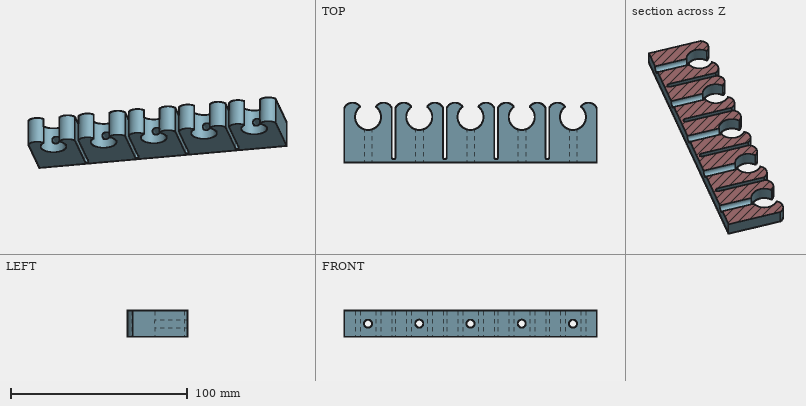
import cadquery as cq
import math

length = 143.0
depth = 34.0
thickness = 15.0

clip_count = 5
slot_width = 2.0
slot_floor = 2.0
clip_width = (length - (clip_count - 1) * slot_width) / clip_count
pitch = clip_width + slot_width

socket_radius = 7.3
socket_y = 25.9
mouth_half_width = 4.5
mouth_y = socket_y + math.sqrt(socket_radius**2 - mouth_half_width**2)

shoulder_y = 31.0
tip_offset = 8.9

screw_hole_diameter = 4.5


def left(point):
    """Matching point on the left arm, relative to the clip axis."""
    return (-point[0], point[1])


def make_clip(axis_x):
    """One clip, symmetric about its axis, with its open socket."""
    half_width = clip_width / 2
    shoulder = (half_width, shoulder_y)
    mouth_edge = (mouth_half_width, mouth_y)
    arm_top = (tip_offset, depth)

    return (
        cq.Workplane("XY", origin=(axis_x, 0, 0))
        .moveTo(-half_width, 0)
        .lineTo(half_width, 0)
        .lineTo(*shoulder)
        .threePointArc(arm_top, mouth_edge)
        .threePointArc((0, socket_y - socket_radius), left(mouth_edge))
        .threePointArc(left(arm_top), left(shoulder))
        .close()
        .extrude(thickness)
    )


def make_web(slot_x):
    """Material below a slot, joining two neighbouring clips."""
    half_slot = slot_width / 2
    web_top = slot_floor + half_slot
    return (
        cq.Workplane("XY")
        .moveTo(slot_x - half_slot, 0)
        .lineTo(slot_x + half_slot, 0)
        .lineTo(slot_x + half_slot, web_top)
        .threePointArc((slot_x, slot_floor), (slot_x - half_slot, web_top))
        .close()
        .extrude(thickness)
    )


def make_screw_hole(axis_x):
    """Cutter running from the back face to the centre of the socket."""
    return (
        cq.Workplane("XZ")
        .center(axis_x, thickness / 2)
        .circle(screw_hole_diameter / 2)
        .extrude(-socket_y)
    )


clip_axes = [clip_width / 2 + i * pitch for i in range(clip_count)]

result = make_clip(clip_axes[0])
for axis_x in clip_axes[1:]:
    result = result.union(make_web(axis_x - pitch / 2))
    result = result.union(make_clip(axis_x))

for axis_x in clip_axes:
    result = result.cut(make_screw_hole(axis_x))